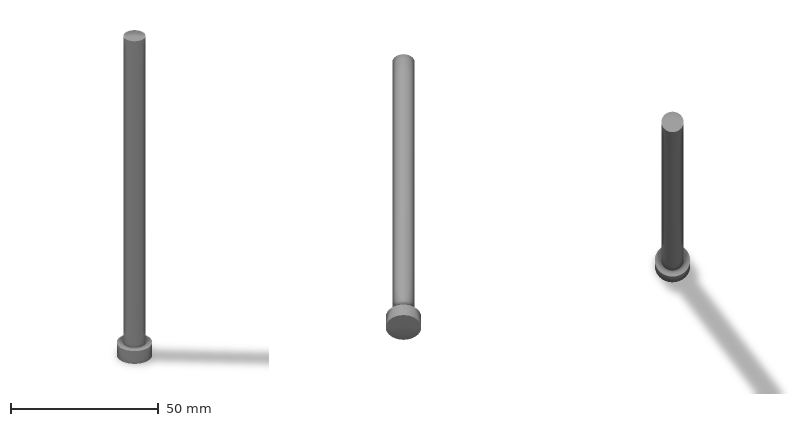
import cadquery as cq

total_length = 125.0
head_diameter = 12.0
head_height = 5.0
shank_diameter = 7.5

head = cq.Workplane("XY").circle(head_diameter / 2).extrude(head_height)

shank = cq.Workplane("XY").circle(shank_diameter / 2).extrude(total_length)

result = head.union(shank)